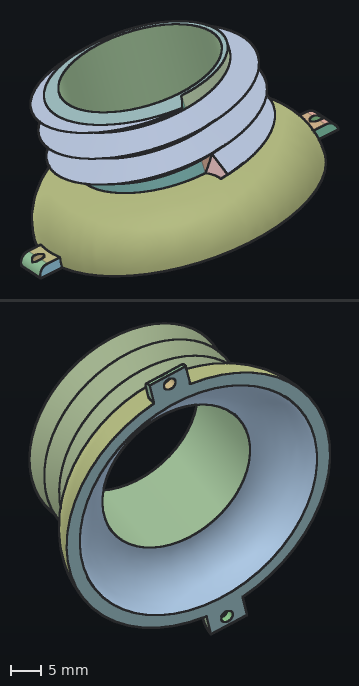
import cadquery as cq
import math

TILT = 30.0

BORE_RADIUS = 14.0
NECK_RADIUS = 15.0
NECK_TOP = 25.0

FLANGE_ROUND = 10.0
CAVITY_ROUND = 7.5

PITCH = 5.0
TURNS = 3
FLANK_ANGLE = math.radians(30.0)
ROOT_LAND = 0.1
ROOT_OVERLAP = 0.5
CORNER_SINK = 0.04
THREAD_START = NECK_TOP - TURNS * PITCH
THREAD_MIDDLE = (THREAD_START + NECK_TOP) / 2
CREST_RADIUS = NECK_RADIUS + (PITCH - ROOT_LAND) / 2 / math.tan(FLANK_ANGLE)

END_CUT_DEPTH = PITCH / 2 * math.cos(FLANK_ANGLE)
END_CUT_LENGTH = 8.0
END_CUT_OVERRUN = 0.5

LUG_WIDTH = 7.0
LUG_ROUND = 1.92
LUG_HOLE_DIAMETER = 2.2
LUG_HOLE_OFFSET = 27.0
LUG_TIP = LUG_HOLE_OFFSET + LUG_ROUND
LUG_OVERLAP = 1.5
LUG_ROOT = NECK_RADIUS + FLANGE_ROUND - LUG_OVERLAP

TOOL_SIZE = 100.0


def half_round_ring(section_radius):
    """Upper half of a torus whose section is centred on the neck's outer radius."""
    return (
        cq.Workplane("XZ")
        .moveTo(NECK_RADIUS - section_radius, 0)
        .threePointArc((NECK_RADIUS, section_radius), (NECK_RADIUS + section_radius, 0))
        .close()
        .revolve(360, (0, 0), (0, 1))
    )


def thread_tooth():
    """Tooth swept up the neck from angle 0, its base sunk a little into the neck wall."""
    path = cq.Workplane(obj=cq.Wire.makeHelix(PITCH, PITCH * TURNS, NECK_RADIUS))
    corner_radius = NECK_RADIUS - CORNER_SINK
    inner_radius = NECK_RADIUS - ROOT_OVERLAP
    half_width = (CREST_RADIUS - corner_radius) * math.tan(FLANK_ANGLE)
    section = cq.Workplane("XZ").polyline(
        [
            (inner_radius, -half_width),
            (corner_radius, -half_width),
            (CREST_RADIUS, 0),
            (corner_radius, half_width),
            (inner_radius, half_width),
        ]
    ).close()
    return section.sweep(path, isFrenet=True).translate((0, 0, THREAD_START))


def end_cut():
    """Wedge lying along the upper flank, which cuts the slanting flat at the thread's start."""
    across_flank = cq.Plane(
        origin=(NECK_RADIUS, 0, THREAD_START),
        xDir=(0, 1, 0),
        normal=(math.cos(FLANK_ANGLE), 0, -math.sin(FLANK_ANGLE)),
    )
    return (
        cq.Workplane(across_flank)
        .polyline(
            [
                (-END_CUT_OVERRUN, -END_CUT_OVERRUN),
                (END_CUT_DEPTH, END_CUT_DEPTH),
                (-END_CUT_OVERRUN, END_CUT_DEPTH),
            ]
        )
        .close()
        .extrude(END_CUT_LENGTH / 2, both=True)
    )


def thread():
    """Whole thread; its two end cuts are half a turn apart about a radial line."""
    start_cut = end_cut()
    finish_cut = start_cut.rotate((0, 0, THREAD_MIDDLE), (1, 0, THREAD_MIDDLE), 180)
    above_neck = (
        cq.Workplane("XY", origin=(0, 0, NECK_TOP)).rect(TOOL_SIZE, TOOL_SIZE).extrude(TOOL_SIZE)
    )
    return thread_tooth().cut(start_cut).cut(finish_cut).cut(above_neck)


def lug():
    """Lug on the +Y side with a rounded tip and an upright hole."""
    return (
        cq.Workplane("YZ")
        .moveTo(LUG_ROOT, 0)
        .lineTo(LUG_TIP, 0)
        .radiusArc((LUG_HOLE_OFFSET, LUG_ROUND), -LUG_ROUND)
        .lineTo(LUG_ROOT, LUG_ROUND)
        .close()
        .extrude(LUG_WIDTH / 2, both=True)
        .cut(
            cq.Workplane("XY")
            .center(0, LUG_HOLE_OFFSET)
            .circle(LUG_HOLE_DIAMETER / 2)
            .extrude(TOOL_SIZE)
        )
    )


body = cq.Workplane("XY").circle(NECK_RADIUS).extrude(NECK_TOP)
body = body.union(half_round_ring(FLANGE_ROUND))
body = body.union(thread())
body = body.cut(half_round_ring(CAVITY_ROUND))
body = body.cut(cq.Workplane("XY").circle(BORE_RADIUS).extrude(TOOL_SIZE))

body = body.union(lug())
body = body.union(lug().mirror("XZ"))

result = body.rotate((0, 0, 0), (0, 1, 0), -TILT)